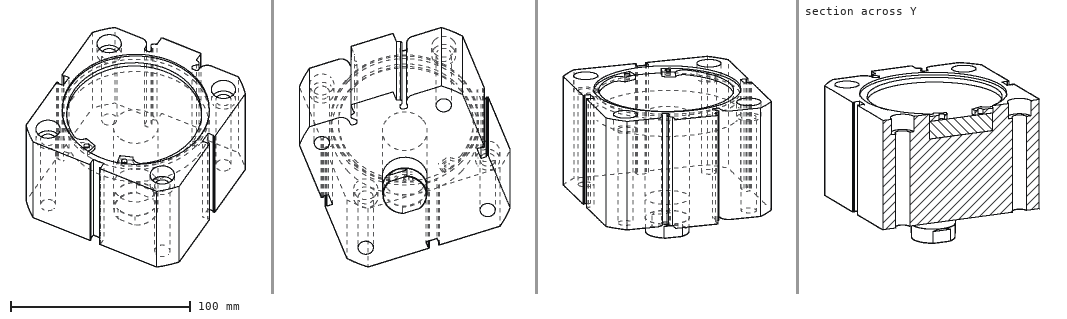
import cadquery as cq
import math


SIDE = 96.5
HALF = SIDE / 2
HEIGHT = 63.5
CORNER_RADIUS = 62.0
OVERALL_DEPTH = 102.0

HOLE_SPACING = 72.0
HOLE_DIAMETER = 8.5
COUNTERBORE_DIAMETER = 13.5
COUNTERBORE_DEPTH = 8.9

SLOT_MOUTH = 5.5
SLOT_WIDTH = 6.6
SLOT_DEPTH = 4.4
SLOT_BEVEL = 0.3
SIDE_LIP = 1.1
FRONT_LIP = 0.8

RAIL_TOP = OVERALL_DEPTH - HALF
RAIL_HALF_WIDTH = 12.4
RAIL_EDGE_RADIUS = 0.5
RAIL_SHOULDER = HALF
LIP_SLOPE_END = (14.6, 47.3)
LIP_TIP = (15.0, 46.7)
LIP_UNDERSIDE = (14.5, 45.1)
POCKET_RADIUS = 1.6
POCKET_CENTRE = (14.4, 42.8)
GROOVE_WALL = 16.9
GROOVE_CORNER_RADIUS = 1.2
GROOVE_SHOULDER_RADIUS = 5.0

BORE_RADIUS = 40.9
RING_RECESS = 1.4
RING_THICKNESS = 2.8
CAP_THICKNESS = 10.2
RING_TOP = HEIGHT - RING_RECESS
CAP_TOP = RING_TOP - RING_THICKNESS
CAP_BOTTOM = CAP_TOP - CAP_THICKNESS

RING_INNER_RADIUS = 37.5
RING_INNER_OFFSET = -1.8
EAR_GAP_INNER = (7.9, -33.4)
EAR_GAP_OUTER_X = 9.2
EAR_CORNER = (14.7, -30.9)
EAR_FLANK_MIDDLE = (17.3, -33.2)
EAR_FLANK_END_X = 21.0
EAR_HOLE_CENTRE = (11.9, -35.7)
EAR_HOLE_DIAMETER = 3.1

ROD_DIAMETER = 25.0
ROD_RADIUS = ROD_DIAMETER / 2
ROD_LENGTH = 20.0
ROD_STEP = 11.6
TIP_RADIUS = 12.2
TIP_FLAT = 11.0
FLAT_RUNOUT = 1.4
TIP_CHAMFER = 0.3


def circle_y(radius, x, centre_y=0.0, side=-1):
    """Y of the point at x on a circle centred on the Y axis."""
    return centre_y + side * math.sqrt(radius**2 - x**2)


def mirrored(point):
    return (-point[0], point[1])


def rail_groove():
    """Undercut groove on the +X flank of the rail, with its mouth open to +Y."""
    px, py = POCKET_CENTRE
    diagonal = POCKET_RADIUS * math.sqrt(0.5)
    floor = py - POCKET_RADIUS
    corner = GROOVE_CORNER_RADIUS
    corner_bend = corner * (1 - math.sqrt(0.5))
    shoulder = GROOVE_SHOULDER_RADIUS
    shoulder_bend = shoulder * (1 - math.sqrt(0.5))
    shoulder_y = HALF - shoulder
    return (
        cq.Workplane("XY")
        .moveTo(RAIL_HALF_WIDTH, RAIL_TOP)
        .lineTo(RAIL_HALF_WIDTH, RAIL_SHOULDER)
        .lineTo(*LIP_SLOPE_END)
        .threePointArc(LIP_TIP, LIP_UNDERSIDE)
        .lineTo(px - diagonal, py + diagonal)
        .threePointArc((px - diagonal, py - diagonal), (px, floor))
        .lineTo(GROOVE_WALL - corner, floor)
        .threePointArc((GROOVE_WALL - corner_bend, floor + corner_bend), (GROOVE_WALL, floor + corner))
        .lineTo(GROOVE_WALL, shoulder_y)
        .threePointArc(
            (GROOVE_WALL + shoulder_bend, HALF - shoulder_bend), (GROOVE_WALL + shoulder, HALF)
        )
        .lineTo(GROOVE_WALL + shoulder, RAIL_TOP)
        .close()
        .extrude(HEIGHT)
    )


def sensor_slot(angle, lip):
    """Undercut slot with a bevelled mouth, in the side face that the angle about Z points to."""
    floor = HALF - SLOT_DEPTH
    half_mouth = SLOT_MOUTH / 2
    half_width = SLOT_WIDTH / 2
    half_profile = [
        (floor, half_width),
        (HALF - lip, half_width),
        (HALF - lip, half_mouth),
        (HALF - SLOT_BEVEL, half_mouth),
        (HALF, half_mouth + SLOT_BEVEL),
    ]
    other_half = [(x, -y) for x, y in reversed(half_profile)]
    slot = cq.Workplane("XY").polyline(half_profile + other_half).close().extrude(HEIGHT)
    return slot.rotate((0, 0, 0), (0, 0, 1), angle)


def make_housing():
    block = cq.Workplane("XY").box(SIDE, SIDE, HEIGHT, centered=(True, True, False))
    block = block.intersect(cq.Workplane("XY").circle(CORNER_RADIUS).extrude(HEIGHT))

    rail_height = RAIL_TOP - POCKET_CENTRE[1]
    rail = (
        cq.Workplane("XY")
        .box(2 * RAIL_HALF_WIDTH, rail_height, HEIGHT, centered=(True, False, False))
        .translate((0, POCKET_CENTRE[1], 0))
        .edges("|Z and >Y")
        .fillet(RAIL_EDGE_RADIUS)
    )
    groove = rail_groove()
    body = block.union(rail).cut(groove).cut(groove.mirror("YZ"))

    for angle, lip in ((0, SIDE_LIP), (180, SIDE_LIP), (270, FRONT_LIP)):
        body = body.cut(sensor_slot(angle, lip))

    body = (
        body.faces(">Z")
        .workplane(origin=(0, 0, HEIGHT))
        .rect(HOLE_SPACING, HOLE_SPACING, forConstruction=True)
        .vertices()
        .cboreHole(HOLE_DIAMETER, COUNTERBORE_DIAMETER, COUNTERBORE_DEPTH)
    )

    bore = cq.Workplane("XY", origin=(0, 0, CAP_BOTTOM)).circle(BORE_RADIUS).extrude(HEIGHT - CAP_BOTTOM)
    rod_hole = cq.Workplane("XY").circle(ROD_RADIUS).extrude(CAP_BOTTOM)
    return body.cut(bore).cut(rod_hole)


def make_cap():
    return cq.Workplane("XY", origin=(0, 0, CAP_BOTTOM)).circle(BORE_RADIUS).extrude(CAP_THICKNESS)


def make_retaining_ring():
    gap_outer = (EAR_GAP_OUTER_X, circle_y(BORE_RADIUS, EAR_GAP_OUTER_X))
    flank_end = (EAR_FLANK_END_X, circle_y(RING_INNER_RADIUS, EAR_FLANK_END_X, RING_INNER_OFFSET))
    inner_top = (0, RING_INNER_RADIUS + RING_INNER_OFFSET)
    ring = (
        cq.Workplane("XY", origin=(0, 0, CAP_TOP))
        .moveTo(*gap_outer)
        .lineTo(*EAR_GAP_INNER)
        .lineTo(*EAR_CORNER)
        .threePointArc(EAR_FLANK_MIDDLE, flank_end)
        .threePointArc(inner_top, mirrored(flank_end))
        .threePointArc(mirrored(EAR_FLANK_MIDDLE), mirrored(EAR_CORNER))
        .lineTo(*mirrored(EAR_GAP_INNER))
        .lineTo(*mirrored(gap_outer))
        .threePointArc((0, BORE_RADIUS), gap_outer)
        .close()
        .extrude(RING_THICKNESS)
    )
    plier_holes = (
        cq.Workplane("XY", origin=(0, 0, CAP_TOP))
        .pushPoints([EAR_HOLE_CENTRE, mirrored(EAR_HOLE_CENTRE)])
        .circle(EAR_HOLE_DIAMETER / 2)
        .extrude(RING_THICKNESS)
    )
    return ring.cut(plier_holes)


def make_rod():
    shank = cq.Workplane("XY", origin=(0, 0, -ROD_STEP)).circle(ROD_RADIUS).extrude(ROD_STEP + CAP_BOTTOM)
    tip = (
        cq.Workplane("XY", origin=(0, 0, -ROD_LENGTH))
        .circle(TIP_RADIUS)
        .extrude(ROD_LENGTH - ROD_STEP)
        .faces("<Z")
        .chamfer(TIP_CHAMFER)
    )
    flat = (
        cq.Workplane("YZ")
        .moveTo(TIP_FLAT, -ROD_LENGTH)
        .lineTo(TIP_RADIUS, -ROD_LENGTH)
        .lineTo(TIP_RADIUS, -ROD_STEP)
        .lineTo(TIP_FLAT, -ROD_STEP - FLAT_RUNOUT)
        .close()
        .extrude(TIP_RADIUS, both=True)
    )
    tip = tip.cut(flat).cut(flat.mirror("XZ"))
    return shank.union(tip)


housing = make_housing()
cap = make_cap()
retaining_ring = make_retaining_ring()
rod = make_rod()

result = cq.Compound.makeCompound([housing.val(), cap.val(), retaining_ring.val(), rod.val()])